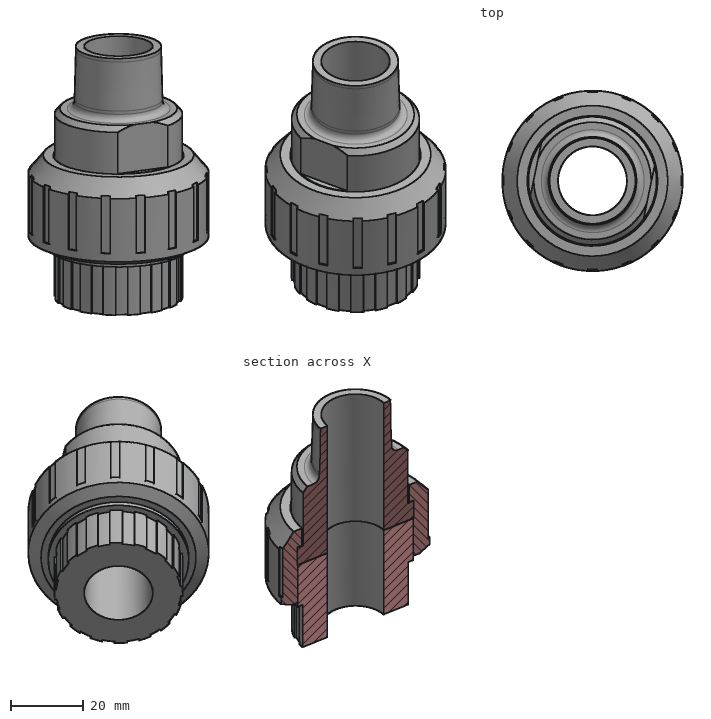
import cadquery as cq
import math


total_height = 72.5
bore_diameter = 19.0
seal_face_z = 29.0

collar_diameter = 38.9
collar_bottom_z = 14.5
rib_diameter = 35.5
rib_root_diameter = 34.5
rib_count = 16
rib_angle = 11.5

nut_diameter = 50.0
nut_bottom_diameter = 42.9
nut_top_diameter = 41.7
nut_bore_diameter = 36.1
nut_bottom_z = 15.95
nut_lower_edge_z = 17.7
nut_upper_edge_z = 35.95
nut_top_z = 40.95
nut_shoulder_z = 34.8
grip_count = 16
grip_width = 2.55
grip_depth = 0.5
grip_bottom_z = 20.0
grip_top_z = 36.6

body_diameter = 35.45
body_top_diameter = 32.5
body_chamfer_z = 52.9
body_top_z = 54.5
flat_spacing = 32.0
flat_angle = -11.8
neck_fillet = 2.0
spigot_base_diameter = 24.4
spigot_tip_diameter = 23.7
spigot_band_height = 0.95


def cylinder(diameter, bottom_z, top_z):
    """Solid round bar on the Z axis between two heights."""
    return cq.Workplane("XY").workplane(offset=bottom_z).circle(diameter / 2).extrude(top_z - bottom_z)


def make_socket():
    """Ribbed pipe socket whose collar fills the lower part of the nut."""
    socket = cylinder(collar_diameter, collar_bottom_z, seal_face_z)
    socket = socket.union(cylinder(rib_root_diameter, 0, collar_bottom_z))

    rib_bar = cylinder(rib_diameter, 0, collar_bottom_z)
    reach = rib_diameter
    half_spread = reach * math.tan(math.radians(rib_angle / 2))
    wedge = (
        cq.Workplane("XY")
        .polyline([(0, 0), (reach, -half_spread), (reach, half_spread)])
        .close()
        .extrude(collar_bottom_z)
    )
    rib = rib_bar.intersect(wedge)
    for index in range(rib_count):
        socket = socket.union(rib.rotate((0, 0, 0), (0, 0, 1), index * 360.0 / rib_count))

    return socket.cut(cylinder(bore_diameter, 0, seal_face_z))


def make_nut():
    """Union nut with a stepped bore and grip grooves around the outside."""
    nut = (
        cq.Workplane("XZ")
        .polyline(
            [
                (collar_diameter / 2, nut_bottom_z),
                (nut_bottom_diameter / 2, nut_bottom_z),
                (nut_diameter / 2, nut_lower_edge_z),
                (nut_diameter / 2, nut_upper_edge_z),
                (nut_top_diameter / 2, nut_top_z),
                (nut_bore_diameter / 2, nut_top_z),
                (nut_bore_diameter / 2, nut_shoulder_z),
                (collar_diameter / 2, nut_shoulder_z),
            ]
        )
        .close()
        .revolve(360, (0, 0, 0), (0, 1, 0))
    )

    floor_radius = nut_diameter / 2 - grip_depth
    groove = cq.Workplane("XY").box(
        2 * grip_depth, grip_width, grip_top_z - grip_bottom_z, centered=(False, True, False)
    ).translate((floor_radius, 0, grip_bottom_z))
    for index in range(grip_count):
        nut = nut.cut(groove.rotate((0, 0, 0), (0, 0, 1), index * 360.0 / grip_count))
    return nut


def make_tailpiece():
    """Flanged tailpiece with two wrench flats and a slightly tapered spigot."""
    spigot_base = spigot_base_diameter / 2
    spigot_tip = spigot_tip_diameter / 2
    neck_z = body_top_z + neck_fillet
    arc_offset = neck_fillet * (1 - math.sqrt(0.5))
    tailpiece = (
        cq.Workplane("XZ")
        .moveTo(bore_diameter / 2, seal_face_z)
        .lineTo(collar_diameter / 2, seal_face_z)
        .lineTo(collar_diameter / 2, nut_shoulder_z)
        .lineTo(body_diameter / 2, nut_shoulder_z)
        .lineTo(body_diameter / 2, body_chamfer_z)
        .lineTo(body_top_diameter / 2, body_top_z)
        .lineTo(spigot_base + neck_fillet, body_top_z)
        .threePointArc((spigot_base + arc_offset, body_top_z + arc_offset), (spigot_base, neck_z))
        .lineTo(spigot_base, neck_z + spigot_band_height)
        .lineTo(spigot_tip, total_height - spigot_band_height)
        .lineTo(spigot_tip, total_height)
        .lineTo(bore_diameter / 2, total_height)
        .close()
        .revolve(360, (0, 0, 0), (0, 1, 0))
    )

    flat_cutter = cq.Workplane("XY").box(
        body_diameter, body_diameter, body_top_z - nut_top_z, centered=(False, True, False)
    ).translate((flat_spacing / 2, 0, nut_top_z))
    for angle in (flat_angle, flat_angle + 180):
        tailpiece = tailpiece.cut(flat_cutter.rotate((0, 0, 0), (0, 0, 1), angle))
    return tailpiece


socket = make_socket()
nut = make_nut()
tailpiece = make_tailpiece()

result = cq.Compound.makeCompound([socket.val(), nut.val(), tailpiece.val()])